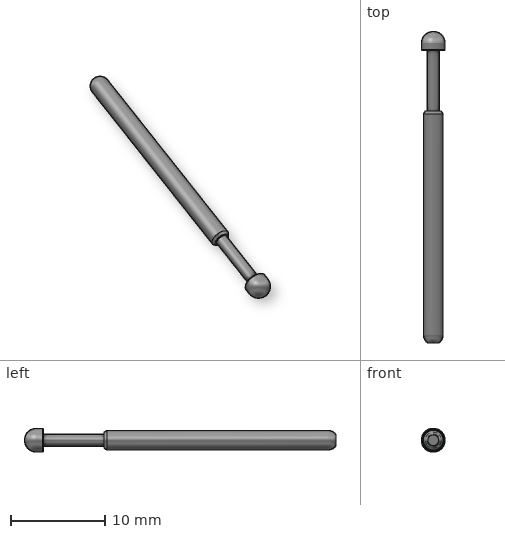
import cadquery as cq
import math

overall_length = 33.1
head_diameter = 2.54
plunger_diameter = 1.3
barrel_diameter = 2.1

head_length = 2.05
head_chamfer = 0.13

barrel_length = 24.65
barrel_chamfer_length = 0.3
barrel_chamfer_depth = 0.2
tail_length = 0.85
tail_flat_diameter = 1.16

head_radius = head_diameter / 2
plunger_radius = plunger_diameter / 2
barrel_radius = barrel_diameter / 2
tail_flat_radius = tail_flat_diameter / 2

tail_y = -overall_length / 2
tip_y = overall_length / 2
tail_round_y = tail_y + tail_length
barrel_top_y = tail_y + barrel_length
head_base_y = tip_y - head_length
dome_y = tip_y - head_radius

joint_overlap = 0.5


def make_barrel():
    """Barrel with a rounded, flat-ended tail and a chamfered mouth."""
    tail_drop = barrel_radius - tail_flat_radius
    arc_radius = (tail_length**2 + tail_drop**2) / (2 * tail_drop)
    half_angle = math.asin(tail_length / arc_radius) / 2
    arc_middle = (
        barrel_radius - arc_radius * (1 - math.cos(half_angle)),
        tail_round_y - arc_radius * math.sin(half_angle),
    )
    return (
        cq.Workplane("XY")
        .moveTo(0, tail_y)
        .lineTo(tail_flat_radius, tail_y)
        .threePointArc(arc_middle, (barrel_radius, tail_round_y))
        .lineTo(barrel_radius, barrel_top_y - barrel_chamfer_length)
        .lineTo(barrel_radius - barrel_chamfer_depth, barrel_top_y)
        .lineTo(0, barrel_top_y)
        .close()
        .revolve(360, (0, 0, 0), (0, 1, 0))
    )


def make_plunger():
    """Thin rod joining the barrel to the head."""
    start_y = barrel_top_y - joint_overlap
    end_y = head_base_y + joint_overlap
    return (
        cq.Workplane("XY")
        .moveTo(0, start_y)
        .lineTo(plunger_radius, start_y)
        .lineTo(plunger_radius, end_y)
        .lineTo(0, end_y)
        .close()
        .revolve(360, (0, 0, 0), (0, 1, 0))
    )


def make_head():
    """Hemispherical head on a short cylinder with a chamfered base."""
    diagonal = head_radius * math.sqrt(0.5)
    return (
        cq.Workplane("XY")
        .moveTo(0, head_base_y)
        .lineTo(head_radius - head_chamfer, head_base_y)
        .lineTo(head_radius, head_base_y + head_chamfer)
        .lineTo(head_radius, dome_y)
        .threePointArc((diagonal, dome_y + diagonal), (0, tip_y))
        .close()
        .revolve(360, (0, 0, 0), (0, 1, 0))
    )


result = make_barrel().union(make_plunger()).union(make_head())